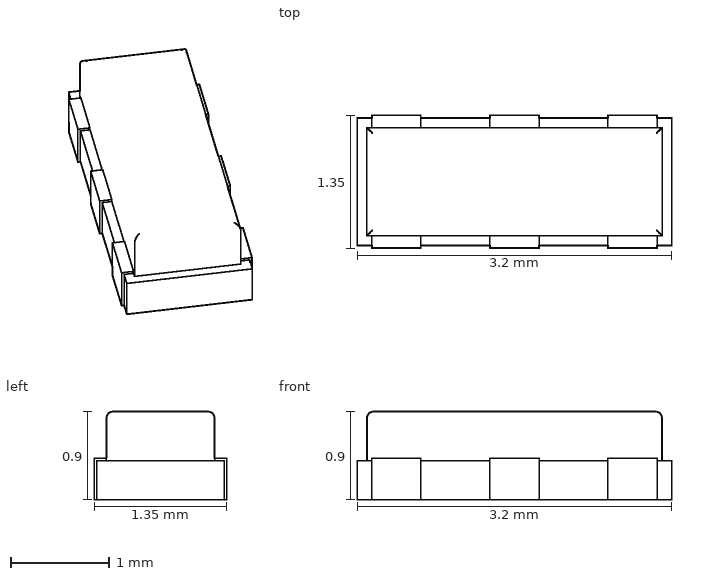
import cadquery as cq

base_length = 3.2
base_width = 1.3
base_height = 0.4

cap_length = 3.0
cap_width = 1.1
overall_height = 0.9
cap_edge_radius = 0.07

terminal_length = 0.5
terminal_pitch = 1.2
terminal_thickness = 0.025
terminals_per_side = 3
terminal_height = base_height + terminal_thickness
overall_width = base_width + 2 * terminal_thickness


def block(length, width, height):
    """Box centred in X and Y, standing on Z = 0."""
    return cq.Workplane("XY").box(length, width, height, centered=(True, True, False))


def make_cap():
    return block(cap_length, cap_width, overall_height).faces(">Z").edges().fillet(cap_edge_radius)


def make_terminal_pair(x_center):
    """One bar through the base forms the two opposite terminals."""
    return block(terminal_length, overall_width, terminal_height).translate((x_center, 0, 0))


result = block(base_length, base_width, base_height).union(make_cap())
for index in range(terminals_per_side):
    x_center = (index - (terminals_per_side - 1) / 2) * terminal_pitch
    result = result.union(make_terminal_pair(x_center))